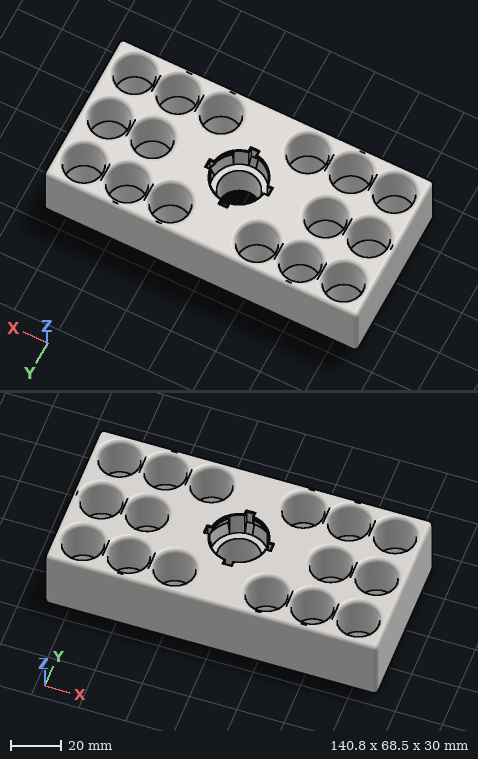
import cadquery as cq
import math

length = 140.8
width = 68.5
height = 30.0
edge_radius = 2.0

cup_diameter = 17.0
cup_rim_radius = 2.0
cup_pitch_x = 19.43
cup_pitch_y = 22.25
cup_cone_height = 10.0
cup_drain_diameter = 8.7
cup_columns = (-3, -2, -1, 1, 2, 3)
cup_rows = (-1, 0, 1)

socket_diameter = 23.77
socket_depth = 12.0
socket_chamfer = 0.4
chamfer_angle = 45.0
through_diameter = 18.0
slot_count = 4
slot_width = 3.2
slot_reach = 13.85
groove_top_depth = 1.7
groove_middle_depth = 7.0
lock_turn = 52.5

socket_radius = socket_diameter / 2
core_radius = socket_radius / 2


def make_block():
    """Plain block, with rounded upright and top edges."""
    block = cq.Workplane("XY").box(length, width, height, centered=(True, True, False))
    return block.edges("|Z or >Z").fillet(edge_radius)


def make_cup_cutter():
    """Solid of revolution for one cup, including its rounded rim."""
    bore_radius = cup_diameter / 2
    drain_radius = cup_drain_diameter / 2
    rim_outer = bore_radius + cup_rim_radius
    rim_bottom = height - cup_rim_radius
    rim_diagonal = cup_rim_radius * math.sqrt(0.5)
    rim_middle = (rim_outer - rim_diagonal, rim_bottom + rim_diagonal)
    return (
        cq.Workplane("XZ")
        .lineTo(drain_radius, 0)
        .lineTo(bore_radius, cup_cone_height)
        .lineTo(bore_radius, rim_bottom)
        .threePointArc(rim_middle, (rim_outer, height))
        .lineTo(0, height)
        .close()
        .revolve(360, (0, 0, 0), (0, 1, 0))
    )


def cup_positions():
    """Grid of cup centres, leaving room for the socket in the middle row."""
    return [
        (column * cup_pitch_x, row * cup_pitch_y)
        for column in cup_columns
        for row in cup_rows
        if row != 0 or abs(column) > 1
    ]


def turn(shape, angle):
    """Shape turned about the vertical axis, anticlockwise seen from above."""
    return shape.rotate((0, 0, 0), (0, 0, 1), angle)


def make_slot_and_groove():
    """Entry slot along +X and the V groove that turns clockwise from it."""
    socket_floor = height - socket_depth
    groove_middle = height - groove_middle_depth
    groove_top = height - groove_top_depth
    slot_outline = [
        (core_radius, socket_floor),
        (socket_radius, socket_floor),
        (slot_reach, groove_middle),
        (slot_reach, height),
        (core_radius, height),
    ]
    groove_outline = [
        (core_radius, socket_floor),
        (socket_radius, socket_floor),
        (slot_reach, groove_middle),
        (socket_radius, groove_top),
        (core_radius, groove_top),
    ]
    slot = cq.Workplane("XZ").polyline(slot_outline).close().extrude(slot_width / 2, both=True)
    groove = (
        cq.Workplane("XZ").polyline(groove_outline).close().revolve(lock_turn, (0, 0, 0), (0, -1, 0))
    )
    return slot, groove


def make_slot_mouth():
    """Flared mouth of the slot along +X, with mitred corners."""
    return (
        cq.Workplane("XY", origin=(0, 0, height - socket_chamfer))
        .rect(2 * slot_reach, slot_width)
        .workplane(offset=socket_chamfer)
        .rect(2 * (slot_reach + socket_chamfer), slot_width + 2 * socket_chamfer)
        .loft(ruled=True)
    )


def make_socket_cutter():
    """Bore, chamfered entry slots, locking grooves and the through hole."""
    socket_floor = height - socket_depth
    mouth_bottom = height - socket_chamfer
    bore = cq.Workplane("XY", origin=(0, 0, socket_floor)).circle(socket_radius).extrude(socket_depth)
    bore_mouth = (
        cq.Workplane("XY", origin=(0, 0, mouth_bottom))
        .circle(socket_radius)
        .extrude(socket_chamfer, taper=-chamfer_angle)
    )
    through_hole = cq.Workplane("XY").circle(through_diameter / 2).extrude(height)
    cutter = bore.union(bore_mouth).union(through_hole)
    slot, groove = make_slot_and_groove()
    slot_mouth = make_slot_mouth()
    for index in range(slot_count):
        angle = index * 360 / slot_count
        for shape in (slot, slot_mouth, groove):
            cutter = cutter.union(turn(shape, angle))
    return cutter


result = make_block()
cup_cutter = make_cup_cutter()
for x, y in cup_positions():
    result = result.cut(cup_cutter.translate((x, y, 0)))
result = result.cut(make_socket_cutter())